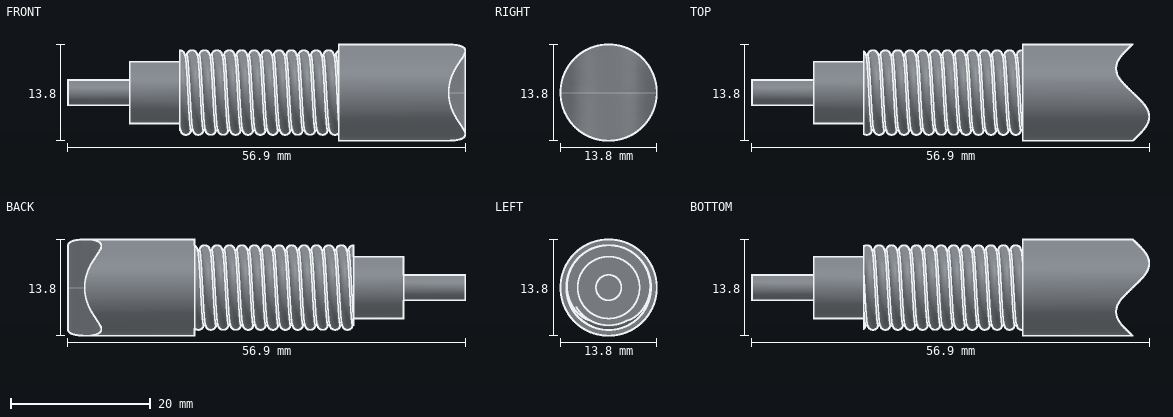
import cadquery as cq
import math

pin_end = 8.8
shoulder_end = 16.0
thread_end = 38.7
total_length = 56.85

pin_radius = 1.8
shoulder_radius = 4.45
head_radius = 13.8 / 2

thread_root_radius = 5.4
thread_crest_radius = 6.1
thread_turns = 12.8
thread_pitch = (thread_end - shoulder_end) / thread_turns
ridge_width = 1.5
ridge_embed = 0.15

wave_amplitude = 2.4
wave_samples = 40


def step(start, end, radius):
    """Cylinder along X between two axial stations."""
    return cq.Workplane("YZ", origin=(start, 0, 0)).circle(radius).extrude(end - start)


def make_thread():
    """Threaded length: one helical ridge on a core, cut square at both ends."""
    turns = math.ceil(thread_turns) + 2
    helix = cq.Wire.makeHelix(thread_pitch, turns * thread_pitch, thread_root_radius)
    half_width = ridge_width / 2
    base_radius = thread_root_radius - ridge_embed
    ridge = (
        cq.Workplane("XZ")
        .moveTo(base_radius, -half_width)
        .lineTo(thread_root_radius, -half_width)
        .threePointArc((thread_crest_radius, 0), (thread_root_radius, half_width))
        .lineTo(base_radius, half_width)
        .close()
        .sweep(cq.Workplane(helix), isFrenet=True)
    )
    ridge = (
        ridge.rotate((0, 0, 0), (0, 1, 0), 90)
        .rotate((0, 0, 0), (1, 0, 0), 180)
        .translate((shoulder_end - thread_pitch, 0, 0))
    )
    envelope = step(shoulder_end, thread_end, head_radius)
    core = step(shoulder_end, thread_end, thread_root_radius)
    return core.union(ridge.intersect(envelope))


def make_head():
    """Plain head whose end is an S-shaped wave running straight through along Z."""
    middle = total_length - wave_amplitude

    def wave_point(t):
        """Point on the wave, for t from 0 at -Y to 1 at +Y."""
        x = middle + wave_amplitude * math.sin(2 * math.pi * t)
        y = head_radius * (2 * t - 1)
        return (x, y)

    wave = (
        cq.Workplane("XY")
        .parametricCurve(wave_point, N=wave_samples, makeWire=False)
        .lineTo(thread_end, head_radius)
        .lineTo(thread_end, -head_radius)
        .close()
        .extrude(head_radius, both=True)
    )
    return step(thread_end, total_length, head_radius).intersect(wave)


pin = step(0, pin_end, pin_radius)
shoulder = step(pin_end, shoulder_end, shoulder_radius)
result = pin.union(shoulder).union(make_thread()).union(make_head())